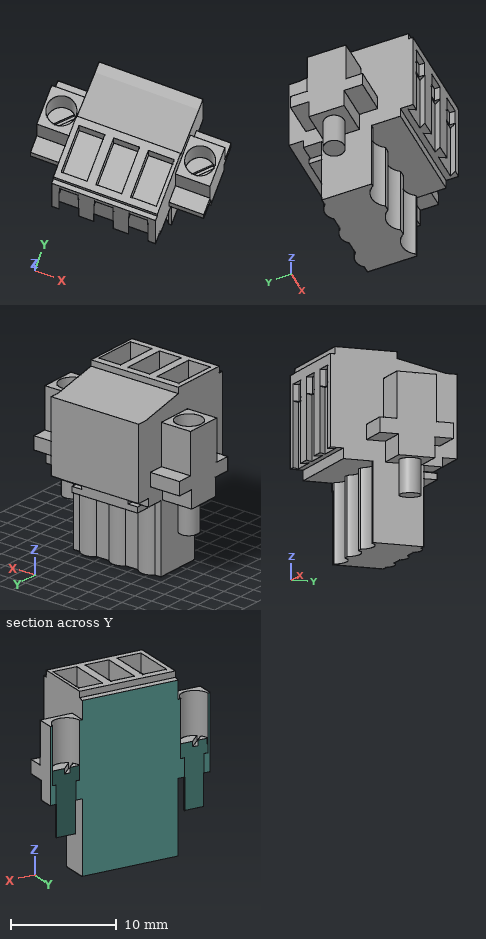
import cadquery as cq
import math

pole_count = 3
overall_width = 17.5
flange_count = 2
pole_pitch = overall_width / (pole_count + flange_count)
housing_width = pole_count * pole_pitch
flange_width = pole_pitch
overall_height = 18.7
depth = 12.9
front_y = -depth / 2
back_y = depth / 2
pole_xs = [(i - (pole_count - 1) / 2) * pole_pitch for i in range(pole_count)]
flange_offset = (housing_width + flange_width) / 2

body_bottom_z = 7.9
front_foot_z = 8.92
front_foot_y = -5.15
back_foot_z = 8.79
back_foot_y = 4.94
rear_top_z = 17.0
slope_back_y = 5.33
slope_front_y = 0.35
slope_top_z = 18.05
front_step_depth = 0.47
front_step_z = 17.99
plug_front_y = -2.13
plug_back_y = 3.03

scallop_width = 2.88
scallop_depth = 0.77
bulge_width = 2.02
bulge_height = 0.47

latch_bottom_z = 6.92
latch_top_z = 7.55
latch_width = 7.85
latch_neck_width = 5.61

notch_width = 1.87
notch_depth = 0.58
notch_top_z = rear_top_z
dovetail_top_z = 15.37
dovetail_mouth = 1.95
dovetail_depth = 0.7
dovetail_flare = 30.0

pocket_shift_x = 0.1
pocket_width = 2.6
pocket_back_y = -0.43
pocket_front_y = -5.27
pocket_depth = 2.0
terminal_height = 3.74
terminal_top_z = overall_height - pocket_depth
terminal_bottom_z = terminal_top_z - terminal_height

flange_top_z = 15.99
flange_back_y = 2.97
flange_front_y = -1.07
wing_back_y = 4.68
wing_front_y = -2.79
wing_bottom_z = 9.91
wing_top_z = 11.4
tongue_back_y = 2.79
tongue_front_y = -0.88

screw_y = 0.95
head_diameter = 2.94
head_height = 1.5
shank_diameter = 2.11
shank_bottom_z = 4.49
driver_slot_length = 2 * head_diameter
driver_slot_width = 0.4
driver_slot_depth = 0.56
driver_slot_angle = 45.0


def box(x_min, x_max, y_min, y_max, z_min, z_max):
    """Axis-aligned block between the given limits."""
    size = (x_max - x_min, y_max - y_min, z_max - z_min)
    return cq.Workplane("XY").box(*size, centered=False).translate((x_min, y_min, z_min))


def centred_box(x_centre, width, y_min, y_max, z_min, z_max):
    """Block of the given width, centred on an X position."""
    return box(x_centre - width / 2, x_centre + width / 2, y_min, y_max, z_min, z_max)


def side_extrusion(points, x_centre, width):
    """Closed (y, z) outline extruded along X, centred on an X position."""
    outline = cq.Workplane("YZ").polyline(points).close()
    return outline.extrude(width / 2, both=True).translate((x_centre, 0, 0))


def arc_segment(x_centre, y_chord, width, rise):
    """Prism as tall as the plug between a chord along X and an arc rising towards +Y."""
    return (
        cq.Workplane("XY")
        .moveTo(x_centre - width / 2, y_chord)
        .threePointArc((x_centre, y_chord + rise), (x_centre + width / 2, y_chord))
        .close()
        .extrude(body_bottom_z)
    )


def housing_block():
    """Main body and the plug below it, as one side profile."""
    points = [
        (plug_front_y, 0),
        (plug_back_y, 0),
        (plug_back_y, body_bottom_z),
        (back_foot_y, body_bottom_z),
        (back_foot_y, back_foot_z),
        (back_y, back_foot_z),
        (back_y, rear_top_z),
        (slope_back_y, rear_top_z),
        (slope_front_y, slope_top_z),
        (slope_front_y, overall_height),
        (front_y + front_step_depth, overall_height),
        (front_y + front_step_depth, front_step_z),
        (front_y, front_step_z),
        (front_y, front_foot_z),
        (front_foot_y, front_foot_z),
        (front_foot_y, body_bottom_z),
        (plug_front_y, body_bottom_z),
    ]
    return side_extrusion(points, 0, housing_width)


def flange(x_centre):
    """Screw flange: an upright block with wings to front and back and a tongue below."""
    points = [
        (tongue_front_y, body_bottom_z),
        (tongue_back_y, body_bottom_z),
        (tongue_back_y, wing_bottom_z),
        (wing_back_y, wing_bottom_z),
        (wing_back_y, wing_top_z),
        (flange_back_y, wing_top_z),
        (flange_back_y, flange_top_z),
        (flange_front_y, flange_top_z),
        (flange_front_y, wing_top_z),
        (wing_front_y, wing_top_z),
        (wing_front_y, wing_bottom_z),
        (tongue_front_y, wing_bottom_z),
    ]
    return side_extrusion(points, x_centre, flange_width)


def screw_hole(x_centre):
    """Counterbored hole: the head rests at the level of the wings' underside."""
    shank_hole = (
        cq.Workplane("XY", origin=(x_centre, screw_y, body_bottom_z))
        .circle(shank_diameter / 2)
        .extrude(wing_bottom_z - body_bottom_z)
    )
    head_hole = (
        cq.Workplane("XY", origin=(x_centre, screw_y, wing_bottom_z))
        .circle(head_diameter / 2)
        .extrude(flange_top_z - wing_bottom_z)
    )
    return shank_hole.union(head_hole)


def latch():
    """Plate behind the plug, joined to the body above by a narrower neck."""
    plate = centred_box(0, latch_width, plug_back_y, back_foot_y, latch_bottom_z, latch_top_z)
    neck = centred_box(0, latch_neck_width, plug_back_y, back_foot_y, latch_top_z, body_bottom_z)
    return plate.union(neck)


def front_slot(x_centre):
    """Dovetail groove open at the bottom, with a shallower straight-sided notch above it."""
    notch = centred_box(
        x_centre, notch_width, front_y, front_y + notch_depth, dovetail_top_z, notch_top_z
    )
    half_mouth = dovetail_mouth / 2
    half_floor = half_mouth + dovetail_depth * math.tan(math.radians(dovetail_flare))
    dovetail = (
        cq.Workplane("XY", origin=(x_centre, front_y, front_foot_z))
        .polyline(
            [
                (-half_mouth, 0),
                (half_mouth, 0),
                (half_floor, dovetail_depth),
                (-half_floor, dovetail_depth),
            ]
        )
        .close()
        .extrude(dovetail_top_z - front_foot_z)
    )
    return notch.union(dovetail)


def pocket_block(pole_x, z_min, z_max):
    """Block with the pocket's rectangular section at one pole."""
    x_centre = pole_x + pocket_shift_x
    return centred_box(x_centre, pocket_width, pocket_front_y, pocket_back_y, z_min, z_max)


def make_housing():
    """Insulating housing with its flanges, latch, plug contour, slots and pockets."""
    housing = housing_block().union(latch())
    for side in (-1, 1):
        housing = housing.union(flange(side * flange_offset))
        housing = housing.cut(screw_hole(side * flange_offset))
    for pole_x in pole_xs:
        housing = housing.union(arc_segment(pole_x, plug_back_y, bulge_width, bulge_height))
        housing = housing.cut(arc_segment(pole_x, plug_front_y, scallop_width, scallop_depth))
        housing = housing.cut(front_slot(pole_x))
        housing = housing.cut(pocket_block(pole_x, terminal_bottom_z, overall_height))
    return housing


def make_terminal(pole_x):
    """Terminal block filling the pocket's lower part; its top is the visible pocket floor."""
    return pocket_block(pole_x, terminal_bottom_z, terminal_top_z)


def make_screw(x_centre):
    """Flange screw: shank, round head and a diagonal driver slot."""
    head_top_z = wing_bottom_z + head_height
    shank = (
        cq.Workplane("XY", origin=(x_centre, screw_y, shank_bottom_z))
        .circle(shank_diameter / 2)
        .extrude(wing_bottom_z - shank_bottom_z)
    )
    head = (
        cq.Workplane("XY", origin=(x_centre, screw_y, wing_bottom_z))
        .circle(head_diameter / 2)
        .extrude(head_height)
    )
    driver_slot = (
        cq.Workplane("XY", origin=(x_centre, screw_y, head_top_z - driver_slot_depth))
        .transformed(rotate=(0, 0, driver_slot_angle))
        .rect(driver_slot_length, driver_slot_width)
        .extrude(driver_slot_depth)
    )
    return shank.union(head).cut(driver_slot)


housing = make_housing()
terminals = [make_terminal(pole_x) for pole_x in pole_xs]
screws = [make_screw(side * flange_offset) for side in (-1, 1)]

result = cq.Compound.makeCompound(
    [housing.val(), *[terminal.val() for terminal in terminals], *[screw.val() for screw in screws]]
)